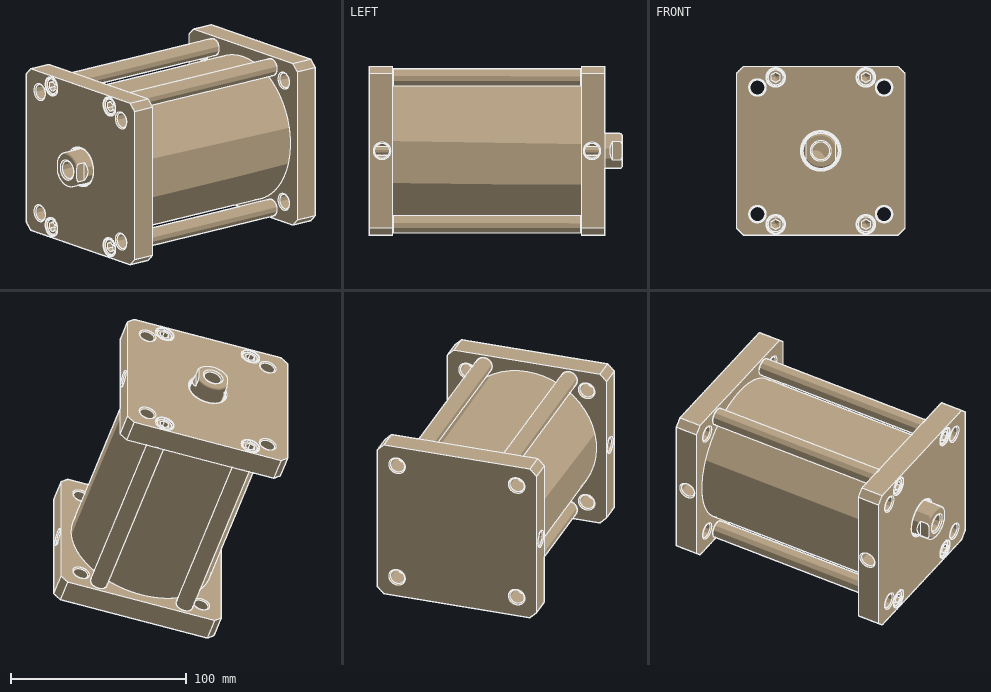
import cadquery as cq
import math

plate_side = 96.0
plate_thickness = 13.4
plate_corner_chamfer = 4.0
overall_length = 144.0

barrel_diameter = 84.0

rod_diameter = 20.0
rod_protrusion = 10.0
rod_end_fillet = 1.6
rod_flat_width = 17.0
rod_flat_length = 5.6
rod_thread_diameter = 10.1
rod_thread_depth = 15.0
rod_thread_chamfer = 0.9
rod_bore_diameter = 20.6
rod_recess_diameter = 21.9
rod_recess_depth = 1.5
rod_recess_chamfer = 0.6

tie_x = 25.6
tie_z = 41.8
tie_diameter = 10.0
tie_end_chamfer = 0.5
tie_neck_diameter = 6.9
head_diameter = 10.0
head_height = 8.0
head_chamfer = 0.7
head_bore_diameter = 10.5
head_bore_depth = 8.6
head_bore_chamfer = 0.3
socket_across_flats = 5.0
socket_depth = 4.0

mount_spacing = 72.0
mount_hole_diameter = 8.5
mount_countersink_diameter = 10.0

port_diameter = 8.5
port_countersink_diameter = 10.0
port_inset = 6.0
port_depth = 11.5
port_core_diameter = 5.0
drill_point_angle = 118.0
blunt_point_angle = 150.0

front_face = rod_protrusion
barrel_start = front_face + plate_thickness
barrel_end = overall_length - plate_thickness


def cylinder_y(diameter, start, end, x=0.0, z=0.0):
    """Cylinder along +Y between two stations."""
    base = cq.Vector(x, start, z)
    return cq.Workplane(cq.Solid.makeCylinder(diameter / 2, end - start, base, cq.Vector(0, 1, 0)))


def cone_y(start_diameter, end_diameter, start, length, direction=1, x=0.0, z=0.0):
    """Cone along Y, going toward +Y or -Y from its start station."""
    base = cq.Vector(x, start, z)
    axis = cq.Vector(0, direction, 0)
    return cq.Workplane(cq.Solid.makeCone(start_diameter / 2, end_diameter / 2, length, base, axis))


def point_length(diameter, angle):
    """Height of a conical hole floor with the given included angle."""
    return diameter / 2 / math.tan(math.radians(angle / 2))


tie_places = [(sx * tie_x, sz * tie_z) for sx in (-1, 1) for sz in (-1, 1)]
mount_places = [(sx * mount_spacing / 2, sz * mount_spacing / 2) for sx in (-1, 1) for sz in (-1, 1)]


def side_port(y):
    """Blind port in the -X side, with a drill point and a round crosspiece at its floor."""
    mouth = cq.Vector(-plate_side / 2, y, 0)
    inward = cq.Vector(1, 0, 0)
    floor = mouth + inward * port_depth
    radius = port_diameter / 2
    bore = cq.Workplane(cq.Solid.makeCylinder(radius, port_depth, mouth, inward))
    point = cq.Solid.makeCone(radius, 0, point_length(port_diameter, drill_point_angle), floor, inward)
    sink_radius = port_countersink_diameter / 2
    sink = cq.Solid.makeCone(sink_radius, radius, sink_radius - radius, mouth, inward)
    core = cylinder_y(port_core_diameter, y - radius, y + radius, floor.x)
    return bore.union(cq.Workplane(point)).union(cq.Workplane(sink)).cut(core)


def end_plate(start, port_y):
    """Square plate with cut corners, countersunk mounting holes and a side port."""
    plate = (
        cq.Workplane("XY")
        .box(plate_side, plate_thickness, plate_side)
        .edges("|Y")
        .chamfer(plate_corner_chamfer)
        .translate((0, start + plate_thickness / 2, 0))
    )
    end = start + plate_thickness
    sink_depth = (mount_countersink_diameter - mount_hole_diameter) / 2
    for x, z in mount_places:
        plate = plate.cut(cylinder_y(mount_hole_diameter, start, end, x, z))
        for face, direction in ((start, 1), (end, -1)):
            sink = cone_y(mount_countersink_diameter, mount_hole_diameter, face, sink_depth, direction, x, z)
            plate = plate.cut(sink)
    return plate.cut(side_port(port_y))


def front_plate():
    """End plate with the rod bore and the counterbored holes for the tie rod heads."""
    plate = end_plate(front_face, barrel_start - port_inset)
    plate = plate.cut(cylinder_y(rod_bore_diameter, front_face, barrel_start))
    plate = plate.cut(cylinder_y(rod_recess_diameter, front_face, front_face + rod_recess_depth))
    mouth_diameter = rod_recess_diameter + 2 * rod_recess_chamfer
    plate = plate.cut(cone_y(mouth_diameter, rod_recess_diameter, front_face, rod_recess_chamfer))
    for x, z in tie_places:
        plate = plate.cut(cylinder_y(tie_neck_diameter, front_face, barrel_start, x, z))
        plate = plate.cut(cylinder_y(head_bore_diameter, front_face, front_face + head_bore_depth, x, z))
        head_mouth = head_bore_diameter + 2 * head_bore_chamfer
        plate = plate.cut(cone_y(head_mouth, head_bore_diameter, front_face, head_bore_chamfer, 1, x, z))
    return plate


def piston_rod():
    """Rod end with a rounded rim, two wrench flats and a blind threaded hole."""
    rod = cylinder_y(rod_diameter, 0, barrel_start).faces("<Y").edges().fillet(rod_end_fillet)

    half_flat = rod_flat_width / 2
    outside = rod_diameter
    runout = outside - half_flat
    for side in (-1, 1):
        flat = (
            cq.Workplane("XY")
            .polyline([
                (side * half_flat, 0),
                (side * outside, 0),
                (side * outside, rod_flat_length + runout),
                (side * half_flat, rod_flat_length),
            ])
            .close()
            .extrude(rod_diameter / 2, both=True)
        )
        rod = rod.cut(flat)

    mouth_diameter = rod_thread_diameter + 2 * rod_thread_chamfer
    rod = rod.cut(cylinder_y(rod_thread_diameter, 0, rod_thread_depth))
    thread_point = point_length(rod_thread_diameter, blunt_point_angle)
    rod = rod.cut(cone_y(rod_thread_diameter, 0, rod_thread_depth, thread_point))
    return rod.cut(cone_y(mouth_diameter, rod_thread_diameter, 0, rod_thread_chamfer))


def tie_rod(x, z):
    """Spacer bar between the plates, with a neck and a hex socket head in the front plate."""
    head_end = front_face + head_bore_depth
    head_start = head_end - head_height
    bar = cylinder_y(tie_diameter, barrel_start, barrel_end, x, z).edges().chamfer(tie_end_chamfer)
    neck = cylinder_y(tie_neck_diameter, head_end, barrel_start, x, z)
    head = cylinder_y(head_diameter, head_start, head_end, x, z).faces("<Y").edges().chamfer(head_chamfer)
    corner_diameter = socket_across_flats / math.cos(math.pi / 6)
    socket_floor = head_start + socket_depth
    socket_point = point_length(corner_diameter, drill_point_angle)
    hexagon = (
        cq.Workplane("XZ", origin=(x, head_start, z))
        .transformed(rotate=(0, 0, 30))
        .polygon(6, corner_diameter)
        .extrude(-(socket_depth + socket_point))
    )
    drilling = cylinder_y(corner_diameter, head_start, socket_floor, x, z)
    drilling = drilling.union(cone_y(corner_diameter, 0, socket_floor, socket_point, 1, x, z))
    socket = hexagon.intersect(drilling)
    return bar.union(neck).union(head).cut(socket)


barrel = cylinder_y(barrel_diameter, barrel_start, barrel_end)
back_plate = end_plate(barrel_end, barrel_end + port_inset)
tie_rods = [tie_rod(x, z) for x, z in tie_places]

result = cq.Compound.makeCompound([
    front_plate().val(),
    back_plate.val(),
    barrel.val(),
    piston_rod().val(),
    *[rod.val() for rod in tie_rods],
])